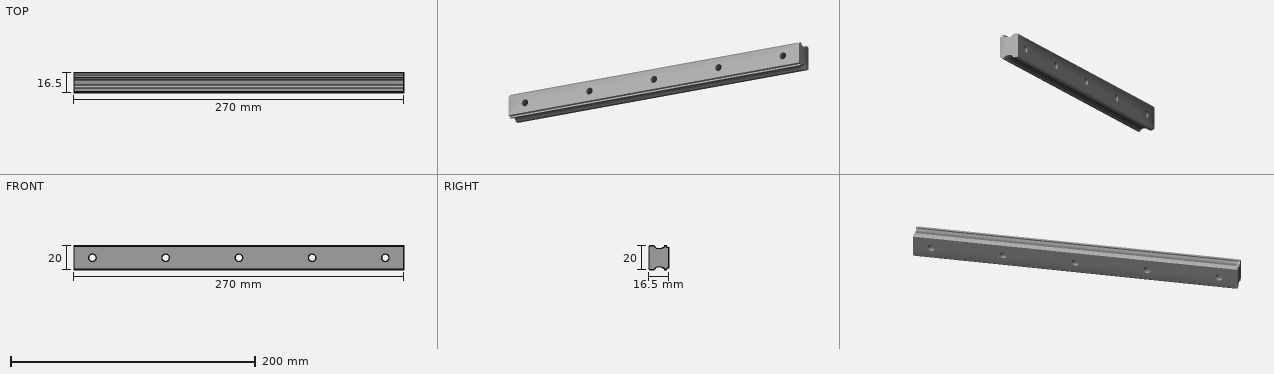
import cadquery as cq

length = 270.0
depth = 16.5
height = 20.0

base_chamfer = 0.95
base_end = 4.0
groove_start = 6.2
groove_end = 10.5
groove_drop = 2.3
ledge_start = 11.0
ledge_start_drop = 2.0
ridge_start = 12.7
ridge_end = 14.5
ledge_top_drop = 1.0
back_drop = 1.75

hole_diameter = 6.0
hole_count = 5
hole_pitch = 60.0


def make_rail():
    """Extrude the profile, which is mirrored between the top and bottom sides."""
    front = -depth / 2
    half_height = height / 2
    upper_steps = [
        (0, base_chamfer),
        (base_chamfer, 0),
        (base_end, 0),
        (groove_start, groove_drop),
        (groove_end, groove_drop),
        (ledge_start, ledge_start_drop),
        (ridge_start, ledge_top_drop),
        (ridge_start, 0),
        (ridge_end, 0),
        (ridge_end, ledge_top_drop),
        (depth, back_drop),
    ]
    upper = [(front + back, half_height - drop) for back, drop in upper_steps]
    lower = [(y, -z) for y, z in reversed(upper)]
    profile = cq.Workplane("YZ").polyline(upper + lower).close()
    return profile.extrude(length / 2, both=True)


def make_mounting_holes():
    """Row of straight cylinders passing through the rail along Y."""
    return (
        cq.Workplane("XZ")
        .rarray(hole_pitch, 2.7, hole_count, 1)
        .circle(hole_diameter / 2)
        .extrude(depth, both=True)
    )


result = make_rail().cut(make_mounting_holes())